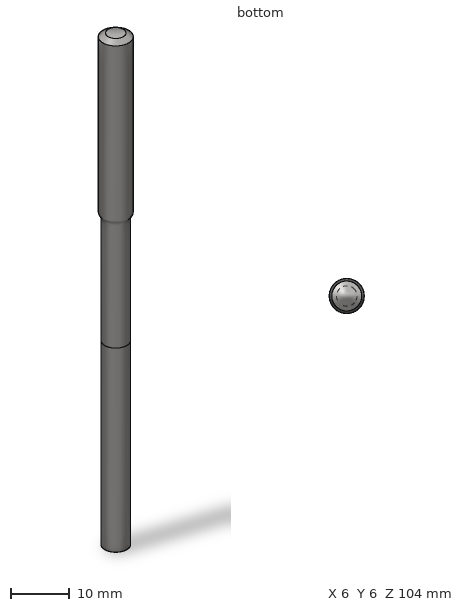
import cadquery as cq
import math

total_length = 104.0

shank_diameter = 6.0
shank_length = 36.0
top_face_diameter = 3.5
top_chamfer_angle = 30.0

shoulder_length = 1.1

drill_diameter = 5.1
cutting_length = 42.0
point_angle = 146.0

shank_radius = shank_diameter / 2
drill_radius = drill_diameter / 2
top_face_radius = top_face_diameter / 2

point_height = drill_radius / math.tan(math.radians(point_angle / 2))
shoulder_top = total_length - shank_length
shoulder_bottom = shoulder_top - shoulder_length
shoulder_middle = (shoulder_top + shoulder_bottom) / 2
top_chamfer_height = (shank_radius - top_face_radius) * math.tan(math.radians(top_chamfer_angle))


def revolve_about_z(profile):
    """Turn a half profile drawn in XZ into a solid of revolution about Z."""
    return profile.close().revolve(360, (0, 0, 0), (0, 1, 0))


def make_shank():
    """Chamfered shank that rounds down through an S-shaped shoulder to the neck."""
    shoulder_middle_radius = (shank_radius + drill_radius) / 2
    profile = (
        cq.Workplane("XZ")
        .moveTo(0, cutting_length)
        .lineTo(drill_radius, cutting_length)
        .lineTo(drill_radius, shoulder_bottom)
        .tangentArcPoint((shoulder_middle_radius, shoulder_middle), relative=False)
        .tangentArcPoint((shank_radius, shoulder_top), relative=False)
        .lineTo(shank_radius, total_length - top_chamfer_height)
        .lineTo(top_face_radius, total_length)
        .lineTo(0, total_length)
    )
    return revolve_about_z(profile)


def make_cutting_section():
    """Plain cylinder of the drill diameter ending in a conical point."""
    profile = (
        cq.Workplane("XZ")
        .moveTo(0, 0)
        .lineTo(drill_radius, point_height)
        .lineTo(drill_radius, cutting_length)
        .lineTo(0, cutting_length)
    )
    return revolve_about_z(profile)


shank = make_shank()
cutting_section = make_cutting_section()

result = cq.Compound.makeCompound([shank.val(), cutting_section.val()])